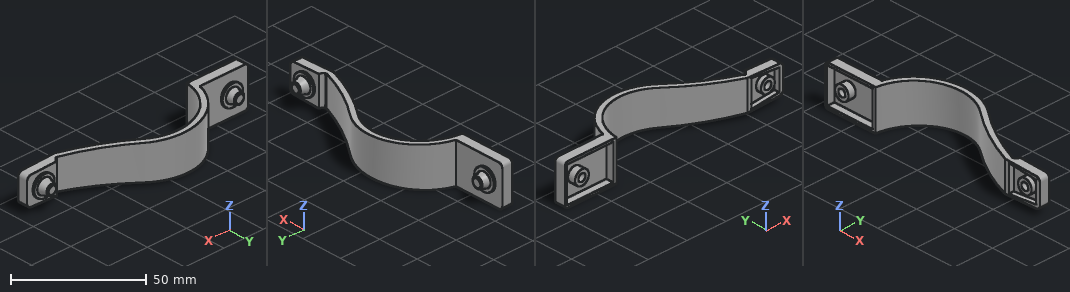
import cadquery as cq
import math

length = 112.9
depth = 24.5
height = 20.0
plate_top = 5.2

strap_thickness = 2.9
arch_x = 50.3
arch_radius = 23.8
arch_centre_y = depth - strap_thickness - arch_radius
arch_end_angle = math.radians(37.7)
relief_valley_x = 95.6
relief_bulge = 0.7

large_plate_length = 23.8
small_plate_front = 0.3
small_plate_start = 94.5
small_plate_back_start = 97.5
large_corner = 1.8
small_corner = 2.1
taper_angle = math.radians(2)

large_pocket_depth = 3.7
small_pocket_depth = 2.6
large_pocket_x = (1.1, 25.0)
large_pocket_half_height = 8.7
small_pocket_x = (96.4, 110.7)
small_pocket_half_heights = (6.7, 5.3)

large_stud_x = 8.8
small_stud_x = 104.9
collar_diameter = 10.4
collar_height = 0.9
boss_diameter = 7.1
stud_hole_diameter = 3.6
stud_hole_depth = 6.2
drill_point_angle = math.radians(118)
tip_chamfer = 0.5
large_cone = (7.0, 5.0, 3.7)
small_cone = (7.5, 4.7, 4.2)

arch_start_x = arch_x - math.sqrt(arch_radius**2 - arch_centre_y**2)

arch_end_x = arch_x + arch_radius * math.sin(arch_end_angle)
arch_end_y = arch_centre_y + arch_radius * math.cos(arch_end_angle)
reverse_run = small_plate_start - arch_end_x
reverse_rise = small_plate_front - arch_end_y
reverse_offset = reverse_run * math.sin(arch_end_angle) + reverse_rise * math.cos(arch_end_angle)
reverse_radius = (reverse_run**2 + reverse_rise**2) / (2 * reverse_offset)
reverse_centre_distance = arch_radius + reverse_radius
reverse_centre_x = arch_x + reverse_centre_distance * math.sin(arch_end_angle)
reverse_centre_y = arch_centre_y + reverse_centre_distance * math.cos(arch_end_angle)


def arch_point(radius, angle):
    """Point on the arch, with the angle measured from the apex towards +X."""
    return arch_x + radius * math.sin(angle), arch_centre_y + radius * math.cos(angle)


def reverse_point(radius, x):
    """Point at x on the side facing the plates of the reverse curve."""
    return x, reverse_centre_y - math.sqrt(radius**2 - (x - reverse_centre_x)**2)


def side_profile():
    outer_arch_radius = arch_radius + strap_thickness
    outer_reverse_radius = reverse_radius - strap_thickness
    outer_start_x = arch_x - math.sqrt(outer_arch_radius**2 - (plate_top - arch_centre_y)**2)
    reverse_mid_x = (arch_end_x + small_plate_start) / 2
    valley = reverse_point(outer_reverse_radius, relief_valley_x)
    relief_mid = (
        valley[0] + relief_bulge * (small_plate_back_start - valley[0]),
        valley[1] + (1 - relief_bulge) * (plate_top - valley[1]),
    )
    return (
        cq.Workplane("XY")
        .moveTo(0, 0)
        .lineTo(arch_start_x, 0)
        .threePointArc(arch_point(arch_radius, 0), arch_point(arch_radius, arch_end_angle))
        .threePointArc(
            reverse_point(reverse_radius, reverse_mid_x), (small_plate_start, small_plate_front)
        )
        .lineTo(length, small_plate_front)
        .lineTo(length, plate_top)
        .lineTo(small_plate_back_start, plate_top)
        .threePointArc(relief_mid, valley)
        .threePointArc(
            reverse_point(outer_reverse_radius, reverse_mid_x),
            arch_point(outer_arch_radius, arch_end_angle),
        )
        .threePointArc(arch_point(outer_arch_radius, 0), (outer_start_x, plate_top))
        .lineTo(0, plate_top)
        .close()
        .extrude(height / 2, both=True)
    )


def prism(points, y_start, y_end):
    """Extrude an XZ outline from y_start to y_end."""
    return cq.Workplane("XZ", origin=(0, y_end, 0)).polyline(points).close().extrude(y_end - y_start)


def tapered_outline():
    half = height / 2
    end_half = half - (length - large_plate_length) * math.tan(taper_angle)
    points = [
        (0, -half), (large_plate_length, -half), (length, -end_half),
        (length, end_half), (large_plate_length, half), (0, half),
    ]
    outline = prism(points, 0, depth)
    outline = outline.edges("|Y and <X").fillet(large_corner)
    return outline.edges("|Y and >X").fillet(small_corner)


def pocket(x_range, half_heights, front, cut_depth):
    x_start, x_end = x_range
    start_half, end_half = half_heights
    points = [(x_start, -start_half), (x_end, -end_half), (x_end, end_half), (x_start, start_half)]
    return prism(points, front, front + cut_depth)


def round_bar(x, diameter, y_start, y_end):
    return cq.Workplane("XZ", origin=(x, y_end, 0)).circle(diameter / 2).extrude(y_end - y_start)


def stud(x, front, cone):
    """Boss inside the pocket, with a collar and a tapered tip on the back of the plate."""
    base_diameter, tip_diameter, cone_height = cone
    collar_top = plate_top + collar_height
    tip = (
        cq.Workplane("XZ", origin=(x, collar_top, 0))
        .circle(base_diameter / 2)
        .workplane(offset=-cone_height)
        .circle(tip_diameter / 2)
        .loft()
        .faces(">Y")
        .chamfer(tip_chamfer)
    )
    boss = round_bar(x, boss_diameter, front, plate_top)
    collar = round_bar(x, collar_diameter, plate_top, collar_top)
    hole = round_bar(x, stud_hole_diameter, front, front + stud_hole_depth)
    hole_radius = stud_hole_diameter / 2
    drill_point = cq.Workplane(
        cq.Solid.makeCone(
            hole_radius,
            0,
            hole_radius / math.tan(drill_point_angle / 2),
            pnt=cq.Vector(x, front + stud_hole_depth, 0),
            dir=cq.Vector(0, 1, 0),
        )
    )
    return boss.union(collar).union(tip), hole.union(drill_point)


result = side_profile().intersect(tapered_outline())
result = result.cut(pocket(large_pocket_x, (large_pocket_half_height,) * 2, 0, large_pocket_depth))
result = result.cut(pocket(small_pocket_x, small_pocket_half_heights, small_plate_front, small_pocket_depth))
for stud_x, plate_front, cone_size in (
    (large_stud_x, 0, large_cone),
    (small_stud_x, small_plate_front, small_cone),
):
    solid_stud, stud_hole = stud(stud_x, plate_front, cone_size)
    result = result.union(solid_stud).cut(stud_hole)